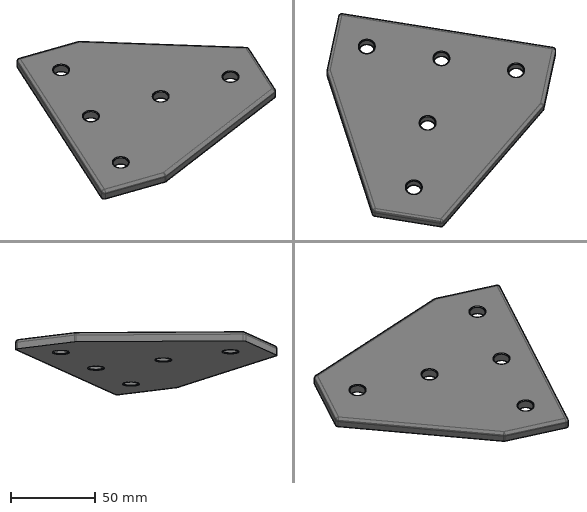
import cadquery as cq

width = 131.0
depth = 131.0
thickness = 6.0
side_height = 40.6
top_width = 41.9
corner_radius = 2.0
edge_radius = 2.0

hole_diameter = 9.0
hole_chamfer = 0.5
hole_pitch = 45.0
hole_margin = (width - 2 * hole_pitch) / 2


def tapered_plate():
    """T-shaped joining plate, wide at -Y and narrow at +Y, resting on Z = 0."""
    outline = [
        (-width / 2, -depth / 2),
        (width / 2, -depth / 2),
        (width / 2, -depth / 2 + side_height),
        (top_width / 2, depth / 2),
        (-top_width / 2, depth / 2),
        (-width / 2, -depth / 2 + side_height),
    ]
    plate = cq.Workplane("XY").polyline(outline).close().extrude(thickness)
    plate = plate.edges("|Z").fillet(corner_radius)
    return plate.faces(">Z").edges().fillet(edge_radius)


def hole_centers():
    """Three holes across the wide end and two more along the stem."""
    row_y = -depth / 2 + hole_margin
    row = [(i * hole_pitch, row_y) for i in (-1, 0, 1)]
    stem = [(0, row_y + i * hole_pitch) for i in (1, 2)]
    return row + stem


def hole_cutter():
    """Round through-hole cutter, standing on Z = 0, that widens at the lower and upper faces."""
    bore_radius = hole_diameter / 2
    rim_radius = bore_radius + hole_chamfer
    profile = [
        (0, 0),
        (rim_radius, 0),
        (bore_radius, hole_chamfer),
        (bore_radius, thickness - hole_chamfer),
        (rim_radius, thickness),
        (0, thickness),
    ]
    return cq.Workplane("XZ").polyline(profile).close().revolve(360, (0, 0, 0), (0, 1, 0))


result = tapered_plate()
for x, y in hole_centers():
    result = result.cut(hole_cutter().translate((x, y, 0)))